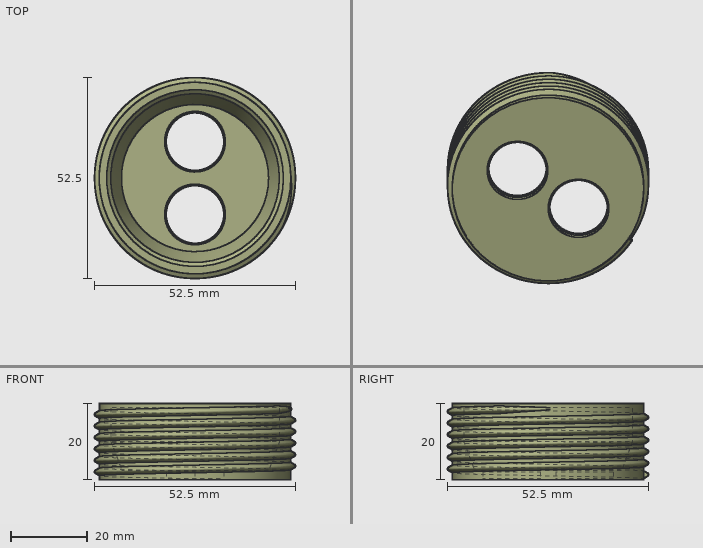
import cadquery as cq
import math

height = 20.0
body_radius = 50.0 / 2
bore_radius = 44.0 / 2
rim_chamfer = 1.05
floor_thickness = 2.5
floor_radius = 19.2
cone_top = 10.0

hole_diameter = 15.0
hole_offset = 9.5
hole_chamfer = 0.4

crest_radius = 26.25
pitch = 3.0
thread_root_width = 2.0
flank_angle = 30.0
thread_embed = 0.25
start_angle = 90.0
start_height = 1.35
full_turns = 5 + 2 / 3
fade_angle = 36.0
fade_steps = 6


def make_cup():
    """Cup with a chamfered rim and a bore that narrows in a cone towards the floor."""
    return (
        cq.Workplane("XZ")
        .lineTo(body_radius, 0)
        .lineTo(body_radius, height)
        .lineTo(bore_radius + rim_chamfer, height)
        .lineTo(bore_radius, height - rim_chamfer)
        .lineTo(bore_radius, cone_top)
        .lineTo(floor_radius, floor_thickness)
        .lineTo(0, floor_thickness)
        .close()
        .revolve(360, (0, 0, 0), (0, 1, 0))
    )


def make_hole_cutter():
    """Through hole chamfered at both faces of the floor, on the Z axis."""
    radius = hole_diameter / 2
    return (
        cq.Workplane("XZ")
        .lineTo(radius + hole_chamfer, 0)
        .lineTo(radius, hole_chamfer)
        .lineTo(radius, floor_thickness - hole_chamfer)
        .lineTo(radius + hole_chamfer, floor_thickness)
        .lineTo(0, floor_thickness)
        .close()
        .revolve(360, (0, 0, 0), (0, 1, 0))
    )


def thread_section(turn, sink=0.0):
    """Round-crested thread section after the given turns, moved inward by sink."""
    angle = math.radians(start_angle + 360 * turn)
    plane = cq.Plane(
        origin=(0, 0, start_height + pitch * turn),
        xDir=(math.cos(angle), math.sin(angle), 0),
        normal=(math.sin(angle), -math.cos(angle), 0),
    )
    flank = math.radians(flank_angle)
    root_half = thread_root_width / 2
    sharp_radius = body_radius + root_half / math.tan(flank)
    round_radius = (sharp_radius - crest_radius) / (1 / math.sin(flank) - 1)
    round_half = round_radius * math.cos(flank)
    round_start = crest_radius - round_radius * (1 - math.sin(flank)) - sink
    root = body_radius - thread_embed - sink
    embedded_half = root_half + thread_embed * math.tan(flank)
    return (
        cq.Workplane(plane)
        .moveTo(root, -embedded_half)
        .lineTo(round_start, -round_half)
        .threePointArc((crest_radius - sink, 0), (round_start, round_half))
        .lineTo(root, embedded_half)
        .close()
    )


def make_full_thread():
    """Constant-depth thread swept along the helix."""
    path = cq.Wire.makeHelix(pitch, pitch * full_turns, body_radius)
    path = path.rotate(cq.Vector(0, 0, 0), cq.Vector(0, 0, 1), start_angle)
    path = path.translate(cq.Vector(0, 0, start_height))
    return thread_section(0).sweep(cq.Workplane(obj=path), isFrenet=True)


def make_fade():
    """Thread end that sinks into the body."""
    fade_depth = crest_radius - body_radius + thread_embed / 2
    sections = []
    for step in range(fade_steps + 1):
        fraction = step / fade_steps
        turn = full_turns + fraction * fade_angle / 360
        sections.append(thread_section(turn, fraction * fade_depth).val())
    return cq.Workplane(obj=cq.Solid.makeLoft(sections))


cup = make_cup()
for hole_y in (-hole_offset, hole_offset):
    cup = cup.cut(make_hole_cutter().translate((0, hole_y, 0)))

result = cup.union(make_full_thread()).union(make_fade())